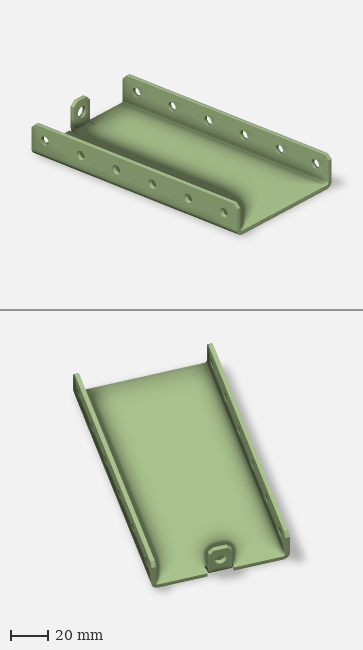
import cadquery as cq

length = 146.0
width = 77.4
height = 19.4
thickness = 2.5
inner_bend_radius = 1.5
outer_bend_radius = inner_bend_radius + thickness
corner_chamfer = 2.6

flange_hole_diameter = 5.4
flange_hole_count = 6
flange_hole_pitch = 25.4
hole_height = 11.5

tab_width = 12.9
tab_hole_diameter = 6.7
slot_width = 1.0
slot_length = 5.5

end_x = -length / 2


def make_channel():
    """U-shaped channel with bent floor edges and chamfered flange corners."""
    outer = (
        cq.Workplane("XY")
        .box(length, width, height, centered=(True, True, False))
        .edges("|X and <Z")
        .fillet(outer_bend_radius)
    )
    inside = (
        cq.Workplane("XY")
        .workplane(offset=thickness)
        .box(length, width - 2 * thickness, height, centered=(True, True, False))
        .edges("|X and <Z")
        .fillet(inner_bend_radius)
    )
    return outer.cut(inside).edges("|Y and >Z").chamfer(corner_chamfer)


def make_flange_holes():
    """Row of cylinders passing through both flanges."""
    return (
        cq.Workplane("XZ")
        .center(0, hole_height)
        .rarray(flange_hole_pitch, 1.5, flange_hole_count, 1)
        .circle(flange_hole_diameter / 2)
        .extrude(width, both=True)
    )


def make_end_notch():
    """Opening for the tab and its relief slots, with round slot ends."""
    straight_length = slot_length - slot_width / 2
    notch = cq.Workplane("XY").box(
        outer_bend_radius, tab_width + 2 * slot_width, height, centered=(False, True, False)
    )
    for side in (-1, 1):
        slot_y = side * (tab_width + slot_width) / 2
        slot = cq.Workplane("XY").box(
            straight_length, slot_width, height, centered=(False, True, False)
        ).translate((0, slot_y, 0))
        slot_end = (
            cq.Workplane("XY")
            .center(straight_length, slot_y)
            .circle(slot_width / 2)
            .extrude(height)
        )
        notch = notch.union(slot).union(slot_end)
    return notch.translate((end_x, 0, 0))


def make_tab():
    """Tab bent up from the floor, with chamfered top corners and one hole."""
    bend_x = end_x + outer_bend_radius
    inner_x = end_x + thickness
    mid_scale = 0.5 ** 0.5
    outer_mid = outer_bend_radius * (1 - mid_scale)
    inner_mid = thickness + inner_bend_radius * (1 - mid_scale)
    tab = (
        cq.Workplane("XZ")
        .moveTo(bend_x, 0)
        .threePointArc((end_x + outer_mid, outer_mid), (end_x, outer_bend_radius))
        .lineTo(end_x, height)
        .lineTo(inner_x, height)
        .lineTo(inner_x, outer_bend_radius)
        .threePointArc((end_x + inner_mid, inner_mid), (bend_x, thickness))
        .close()
        .extrude(tab_width / 2, both=True)
        .edges("|X and >Z")
        .chamfer(corner_chamfer)
    )
    hole = (
        cq.Workplane("YZ", origin=(end_x, 0, hole_height))
        .circle(tab_hole_diameter / 2)
        .extrude(thickness)
    )
    return tab.cut(hole)


result = make_channel().cut(make_flange_holes()).cut(make_end_notch()).union(make_tab())